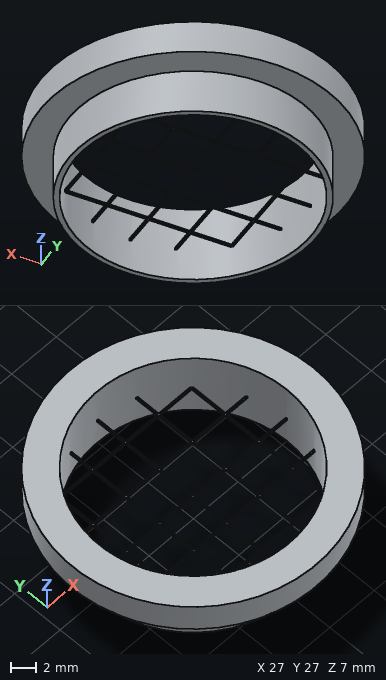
import cadquery as cq
import math

flange_diameter = 27.0
flange_height = 3.0
spigot_diameter = 22.0
spigot_height = 4.0
bore_diameter = 21.0
total_height = spigot_height + flange_height

wire_width = 0.15
wires_each_side = 2
outermost_offset = bore_diameter / 2 * math.sin(math.radians(45))
wire_spacing = outermost_offset / wires_each_side
mesh_mid_height = 3.0
wire_embed = 0.25


def make_ring():
    spigot = cq.Workplane("XY").circle(spigot_diameter / 2).extrude(spigot_height)
    flange = (
        cq.Workplane("XY")
        .workplane(offset=spigot_height)
        .circle(flange_diameter / 2)
        .extrude(flange_height)
    )
    bore = cq.Workplane("XY").circle(bore_diameter / 2).extrude(total_height)
    return spigot.union(flange).cut(bore)


def make_mesh():
    """Square wires along X and Y, trimmed to a disc that ends inside the wall."""
    mesh_diameter = bore_diameter + 2 * wire_embed
    mesh = cq.Workplane("XY")
    for index in range(-wires_each_side, wires_each_side + 1):
        offset = index * wire_spacing
        along_x = cq.Workplane("XY").box(mesh_diameter, wire_width, wire_width)
        along_y = cq.Workplane("XY").box(wire_width, mesh_diameter, wire_width)
        mesh = mesh.union(along_x.translate((0, offset, 0)))
        mesh = mesh.union(along_y.translate((offset, 0, 0)))
    disc = cq.Workplane("XY").circle(mesh_diameter / 2).extrude(wire_width, both=True)
    return mesh.intersect(disc).translate((0, 0, mesh_mid_height))


result = make_ring().union(make_mesh())